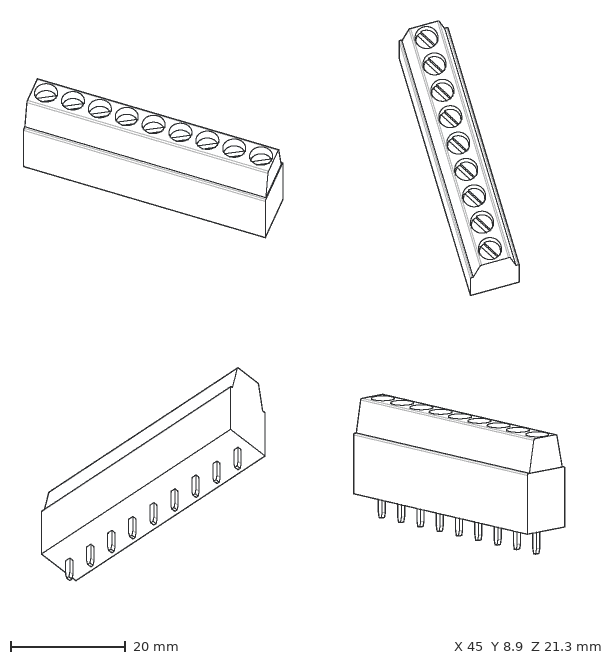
import cadquery as cq

LENGTH = 45.0
WIDTH = 8.9
HEIGHT = 16.8
SHOULDER_Z = 10.8
SHOULDER_FRONT_Y = -3.82
SHOULDER_BACK_Y = 3.95
TOP_FRONT_Y = -2.75
TOP_BACK_Y = 2.65
TOP_ROUND = 0.3
SHOULDER_ROUND = 0.25
END_INSET = 0.15

POLES = 9
PITCH = LENGTH / POLES

SCREW_Y = 0.2
WELL_DIAMETER = 4.0
HEAD_DIAMETER = 3.8
HEAD_DEPTH = 1.85
HEAD_HEIGHT = 1.12
SLOT_WIDTH = 0.9
SLOT_ANGLE = 30.0

PIN_Y = -0.05
PIN_LENGTH = 4.5
PIN_WIDTH = 1.0
PIN_THICKNESS = 0.8
PIN_TIP_WIDTH = 0.55
PIN_TAPER_LENGTH = 1.0

pole_xs = [(i - (POLES - 1) / 2) * PITCH for i in range(POLES)]


def make_base():
    """Lower block with its two upper long edges rounded."""
    base = cq.Workplane("XY").box(LENGTH, WIDTH, SHOULDER_Z, centered=(True, True, False))
    return base.edges("|X and >Z").fillet(SHOULDER_ROUND)


def make_upper():
    """Tapered upper part with its two top long edges rounded."""
    return (
        cq.Workplane("YZ", origin=(-LENGTH / 2, 0, 0))
        .moveTo(SHOULDER_FRONT_Y, SHOULDER_Z)
        .lineTo(SHOULDER_BACK_Y, SHOULDER_Z)
        .lineTo(TOP_BACK_Y, HEIGHT)
        .lineTo(TOP_FRONT_Y, HEIGHT)
        .close()
        .extrude(LENGTH - END_INSET)
        .edges("|X and >Z")
        .fillet(TOP_ROUND)
    )


def make_well(x):
    """Space to remove around and above one slotted screw head."""
    depth = HEAD_DEPTH + HEAD_HEIGHT
    floor = cq.Workplane("XY", origin=(x, SCREW_Y, HEIGHT - depth))
    well = floor.circle(WELL_DIAMETER / 2).extrude(depth)
    head = floor.circle(HEAD_DIAMETER / 2).extrude(HEAD_HEIGHT)
    slot = (
        floor.transformed(rotate=(0, 0, SLOT_ANGLE))
        .rect(WELL_DIAMETER, SLOT_WIDTH)
        .extrude(HEAD_HEIGHT)
    )
    return well.cut(head.cut(slot))


def make_pin(x):
    """Flat pin below the housing, tapered in width towards its tip."""
    taper_z = PIN_TAPER_LENGTH - PIN_LENGTH
    return (
        cq.Workplane("XZ", origin=(x, PIN_Y, 0))
        .moveTo(-PIN_WIDTH / 2, 0)
        .lineTo(-PIN_WIDTH / 2, taper_z)
        .lineTo(-PIN_TIP_WIDTH / 2, -PIN_LENGTH)
        .lineTo(PIN_TIP_WIDTH / 2, -PIN_LENGTH)
        .lineTo(PIN_WIDTH / 2, taper_z)
        .lineTo(PIN_WIDTH / 2, 0)
        .close()
        .extrude(PIN_THICKNESS / 2, both=True)
    )


result = make_base().union(make_upper())
for pole_x in pole_xs:
    result = result.cut(make_well(pole_x))
    result = result.union(make_pin(pole_x))